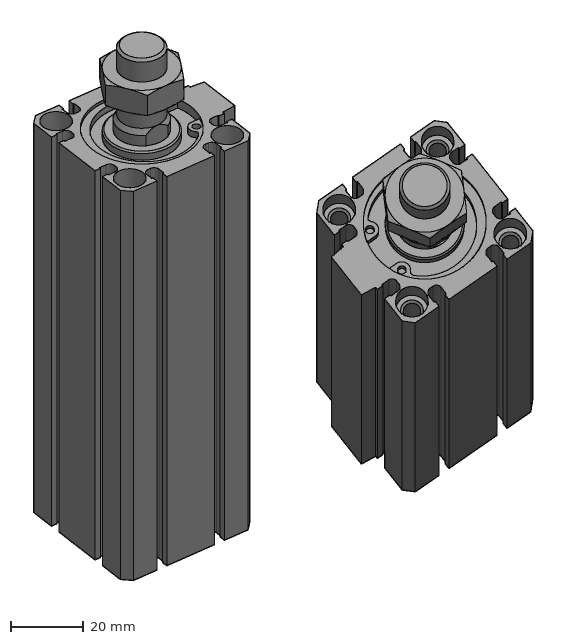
import cadquery as cq
import math


total_height = 161.5
body_width = 45.0
body_height = 133.0
corner_chamfer = 2.6

rail_height = 4.5
rail_root_width = 15.0
rail_top_width = 14.0

slot_offset = 10.0
slot_mouth_width = 3.4
slot_mouth_depth = 2.0
slot_width = 4.2
slot_depth = 5.8
slot_corner_radius = 1.6

hole_offset = 17.0
hole_diameter = 4.8
hole_mouth_diameter = 6.3
counterbore_diameter = 9.0
counterbore_depth = 7.0

recess_diameter = 34.0
recess_depth = 3.0
guide_diameter = 22.0
guide_chamfer = 0.5
guide_drop = 0.3

ring_inner_diameter = 30.4
ring_inner_shift = 1.0
ring_drop = 1.0
lug_x = 7.5
lug_y = 13.4
lug_diameter = 4.8
lug_hole_diameter = 2.5
lug_fillet = 1.3

rod_diameter = 16.0
rod_insertion = 16.2
collar_height = 3.2
collar_cone_height = 1.8
flat_depth_in_guide = 1.6
thread_diameter = 14.0
thread_tip_chamfer = 0.8

nut_across_flats = 22.0
nut_height = 8.0
nut_top_below_tip = 7.6
nut_chamfer_angle = math.radians(20)

half_width = body_width / 2


def cylinder(diameter, bottom, top, x=0.0, y=0.0):
    """Upright cylinder between two heights."""
    return cq.Workplane("XY", origin=(x, y, bottom)).circle(diameter / 2).extrude(top - bottom)


def make_rail():
    """Tapered rail along the +Y side."""
    return (
        cq.Workplane("XY")
        .moveTo(-rail_root_width / 2, half_width - slot_mouth_depth)
        .lineTo(-rail_root_width / 2, half_width)
        .lineTo(-rail_top_width / 2, half_width + rail_height)
        .lineTo(rail_top_width / 2, half_width + rail_height)
        .lineTo(rail_root_width / 2, half_width)
        .lineTo(rail_root_width / 2, half_width - slot_mouth_depth)
        .close()
        .extrude(body_height)
    )


def make_slot():
    """Cutter for one slot in the +X side: a narrow mouth and a wider round-cornered inside."""
    mouth = (
        cq.Workplane("XY")
        .box(slot_mouth_depth, slot_mouth_width, body_height, centered=(False, True, False))
        .translate((half_width - slot_mouth_depth, slot_offset, 0))
    )
    inside_depth = slot_depth - slot_mouth_depth
    inside = (
        cq.Workplane("XY")
        .box(inside_depth, slot_width, body_height, centered=(False, True, False))
        .edges("|Z and <X")
        .fillet(slot_corner_radius)
        .translate((half_width - slot_depth, slot_offset, 0))
    )
    return mouth.union(inside)


def make_mounting_hole(x, y):
    """Cutter for one through hole with a countersunk mouth under a counterbore."""
    floor = body_height - counterbore_depth
    mouth_depth = (hole_mouth_diameter - hole_diameter) / 2
    through = cylinder(hole_diameter, 0, body_height, x, y)
    counterbore = cylinder(counterbore_diameter, floor, body_height, x, y)
    mouth = cq.Solid.makeCone(
        hole_diameter / 2, hole_mouth_diameter / 2, mouth_depth, cq.Vector(x, y, floor - mouth_depth)
    )
    return through.union(counterbore).union(cq.Workplane(mouth))


def make_recess():
    """Cutter for the ring-shaped recess that leaves the rod guide standing."""
    floor = body_height - recess_depth
    guide = cylinder(guide_diameter, floor, body_height - guide_drop).faces(">Z").chamfer(guide_chamfer)
    return cylinder(recess_diameter, floor, body_height).cut(guide)


def make_retaining_ring():
    """Open ring whose two ends carry lugs with a hole each."""
    top = body_height - ring_drop
    bottom = body_height - recess_depth
    disc = cylinder(recess_diameter, bottom, top)
    ring = disc.cut(cylinder(ring_inner_diameter, bottom, top, y=ring_inner_shift))
    gap = cq.Workplane("XY", origin=(0, recess_diameter / 2, bottom)).rect(2 * lug_x, recess_diameter)
    ring = ring.cut(gap.extrude(top - bottom))
    for side in (-1, 1):
        x = side * lug_x
        stem = cq.Workplane("XY", origin=(x, lug_y + lug_diameter / 2, bottom)).rect(lug_diameter, lug_diameter)
        lug = cylinder(lug_diameter, bottom, top, x, lug_y).union(stem.extrude(top - bottom))
        corner = (side * (lug_x + lug_diameter / 2), lug_y, (bottom + top) / 2)
        ring = ring.union(lug.intersect(disc))
        ring = ring.edges(cq.selectors.NearestToPointSelector(corner)).fillet(lug_fillet)
        ring = ring.cut(cylinder(lug_hole_diameter, bottom, top, x, lug_y))
    return ring


def make_housing():
    """Square profile body with rail, slots, mounting holes, recess and rod bore."""
    housing = cq.Workplane("XY").rect(body_width, body_width).extrude(body_height)
    housing = housing.edges("|Z").chamfer(corner_chamfer).union(make_rail())
    slot = make_slot()
    slot_pair = slot.union(slot.mirror("XZ"))
    for angle in (0, 90, 180, 270):
        housing = housing.cut(slot_pair.rotate((0, 0, 0), (0, 0, 1), angle))
    for x in (-hole_offset, hole_offset):
        for y in (-hole_offset, hole_offset):
            housing = housing.cut(make_mounting_hole(x, y))
    housing = housing.cut(make_recess()).union(make_retaining_ring())
    return housing.cut(cylinder(rod_diameter, body_height - rod_insertion, body_height))


def make_rod():
    """Turned rod with a threaded end, and wrench flats on the collar facing +X and -X."""
    rod_radius = rod_diameter / 2
    thread_radius = thread_diameter / 2
    collar_top = body_height + collar_height
    rod = (
        cq.Workplane("XZ")
        .moveTo(0, body_height - rod_insertion)
        .lineTo(rod_radius, body_height - rod_insertion)
        .lineTo(rod_radius, collar_top)
        .lineTo(thread_radius, collar_top + collar_cone_height)
        .lineTo(thread_radius, total_height - thread_tip_chamfer)
        .lineTo(thread_radius - thread_tip_chamfer, total_height)
        .lineTo(0, total_height)
        .close()
        .revolve(360, (0, 0, 0), (0, 1, 0))
    )
    flats_bottom = body_height - flat_depth_in_guide
    flats_height = total_height - flats_bottom
    flats = cq.Workplane("XY", origin=(0, 0, flats_bottom))
    outside = flats.rect(2 * rod_diameter, 2 * rod_diameter).extrude(flats_height)
    between = flats.rect(thread_diameter, 2 * rod_diameter).extrude(flats_height)
    return rod.cut(outside.cut(between))


def make_nut():
    """Hexagon nut with two flats facing +X and -X and both faces chamfered to a circle."""
    face_radius = nut_across_flats / 2
    corner_radius = face_radius / math.cos(math.pi / 6)
    chamfer_height = (corner_radius - face_radius) * math.tan(nut_chamfer_angle)
    top = total_height - nut_top_below_tip
    bottom = top - nut_height
    hexagon = cq.Workplane("XY", origin=(0, 0, bottom)).polygon(6, 2 * corner_radius).extrude(nut_height)
    hexagon = hexagon.rotate((0, 0, 0), (0, 0, 1), 30)
    envelope = (
        cq.Workplane("XZ")
        .moveTo(0, bottom)
        .lineTo(face_radius, bottom)
        .lineTo(corner_radius, bottom + chamfer_height)
        .lineTo(corner_radius, top - chamfer_height)
        .lineTo(face_radius, top)
        .lineTo(0, top)
        .close()
        .revolve(360, (0, 0, 0), (0, 1, 0))
    )
    return hexagon.intersect(envelope).cut(cylinder(thread_diameter, bottom, top))


housing = make_housing()
rod = make_rod()
nut = make_nut()

result = cq.Compound.makeCompound([housing.val(), rod.val(), nut.val()])